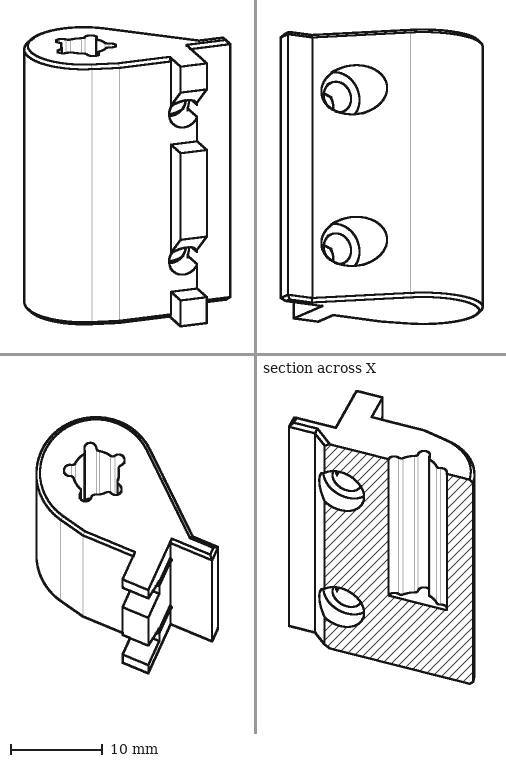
import cadquery as cq
import math

height = 30.0
chamfer = 0.4

barrel_radius = 6.5
back_wall_x = 7.0
back_corner_y = 1.5

lip_front_x = 2.35
lip_back_x = 4.0
lip_start_y = 12.5
lip_end_y = 15.52

hook_tip_x = 10.0
hook_low_y = 7.5
hook_high_y = 10.55
hook_root_x = lip_back_x - chamfer
hook_slope_drop = 2.5
foot_height = 3.0
middle_hook_tip_bottom = 10.0
middle_hook_top = 20.0
top_hook_tip_bottom = 27.0

screw_y = 9.0
screw_heights = (6.5, 23.5)
screw_diameter = 3.4
head_diameter = 5.5
head_seat_x = 3.0

bore_radius = 2.5
lobe_count = 5
lobe_radius = 0.65
lobe_centre_radius = 2.85
neck_fillet = 0.4
bore_depth = 20.0


def barrel_point(angle):
    """Point on the barrel circle at an angle in radians."""
    return (barrel_radius * math.cos(angle), barrel_radius * math.sin(angle))


def tangent_angle(x, y, side):
    """Angle on the barrel circle where the line from (x, y) touches it; side is +1 or -1."""
    return math.atan2(y, x) + side * math.acos(barrel_radius / math.hypot(x, y))


def make_body():
    """Teardrop prism with its lip, chamfered at both ends."""
    front_touch = barrel_point(tangent_angle(lip_front_x, lip_start_y, 1))
    back_touch = barrel_point(tangent_angle(back_wall_x, back_corner_y, -1))
    return (
        cq.Workplane("XY")
        .moveTo(*front_touch)
        .lineTo(lip_front_x, lip_start_y)
        .lineTo(lip_front_x, lip_end_y)
        .lineTo(lip_back_x, lip_end_y)
        .lineTo(lip_back_x, hook_high_y)
        .lineTo(back_wall_x, hook_high_y)
        .lineTo(back_wall_x, back_corner_y)
        .lineTo(*back_touch)
        .threePointArc((0, -barrel_radius), front_touch)
        .close()
        .extrude(height)
        .faces("<Z or >Z")
        .chamfer(chamfer)
    )


def make_hook(tip_bottom, top, slope_drop):
    """Hook whose underside drops by slope_drop from its tip to the back wall."""
    wall_bottom = tip_bottom - slope_drop
    profile = [
        (hook_root_x, wall_bottom),
        (back_wall_x, wall_bottom),
        (hook_tip_x, tip_bottom),
        (hook_tip_x, top),
        (hook_root_x, top),
    ]
    return (
        cq.Workplane("XZ", origin=(0, hook_high_y, 0))
        .polyline(profile)
        .close()
        .extrude(hook_high_y - hook_low_y)
    )


def make_screw_hole(z):
    """Through hole along X with a head recess open to the -X side."""
    hole = (
        cq.Workplane("YZ", origin=(-barrel_radius, screw_y, z))
        .circle(screw_diameter / 2)
        .extrude(barrel_radius + hook_tip_x)
    )
    recess = (
        cq.Workplane("YZ", origin=(-barrel_radius, screw_y, z))
        .circle(head_diameter / 2)
        .extrude(barrel_radius + head_seat_x)
    )
    return hole.union(recess)


def lies_at_neck(edge):
    """True for the upright edges where a lobe meets the round bore."""
    centre = edge.Center()
    return math.hypot(centre.x, centre.y) < lobe_centre_radius


def make_star_bore():
    """Blind round bore with evenly spaced rounded lobes blended into it, open at the top."""
    top = cq.Workplane("XY", origin=(0, 0, height))
    lobes = (
        top.polarArray(lobe_centre_radius, 0, 360, lobe_count)
        .circle(lobe_radius)
        .extrude(-bore_depth)
    )
    star = top.circle(bore_radius).extrude(-bore_depth).union(lobes)
    necks = star.edges("|Z").filter(lies_at_neck)
    return necks.fillet(neck_fillet)


result = make_body()
result = result.union(make_hook(0, foot_height, 0))
result = result.union(make_hook(middle_hook_tip_bottom, middle_hook_top, hook_slope_drop))
result = result.union(make_hook(top_hook_tip_bottom, height, hook_slope_drop))
for screw_z in screw_heights:
    result = result.cut(make_screw_hole(screw_z))
result = result.cut(make_star_bore())